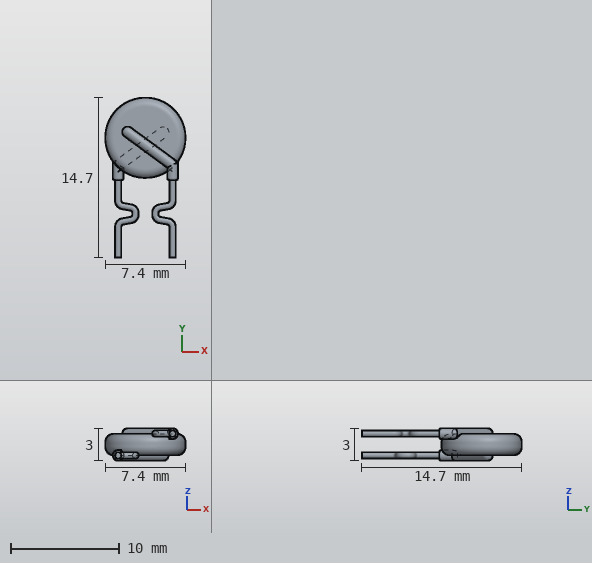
import cadquery as cq
import math

disc_radius = 3.7
disc_height = 2.0
disc_edge_fillet = 0.8

lead_pitch = 5.0
lead_x = lead_pitch / 2
lead_z = disc_height / 2
ridge_radius = 0.5
bend_y = -2.49
run_angle = 36.2
run_length = 5.12
sleeve_end_y = -3.9

wire_radius = 0.3
wire_end_y = -11.0
kink_center_y = -6.98
kink_bend_radius = 0.52
kink_slant = 10.0
kink_depth = 1.59
kink_tip_flat = 0.13

sleeve_end_fillet = ridge_radius - wire_radius

run_rise = math.sin(math.radians(run_angle))
run_reach = math.cos(math.radians(run_angle))


def make_disc():
    return (
        cq.Workplane("XY", origin=(0, 0, -disc_height / 2))
        .circle(disc_radius)
        .extrude(disc_height)
        .edges()
        .fillet(disc_edge_fillet)
    )


def make_ridge():
    """Ridge on the top face: mitred tube with a ball tip and a rounded sleeve end."""
    tip = (lead_x - run_length * run_reach, bend_y + run_length * run_rise, lead_z)
    path = cq.Workplane("XY").polyline(
        [(lead_x, sleeve_end_y, lead_z), (lead_x, bend_y, lead_z), tip]
    )
    tube = (
        cq.Workplane("XZ", origin=(lead_x, sleeve_end_y, lead_z))
        .circle(ridge_radius)
        .sweep(path, transition="right")
        .faces("<Y")
        .edges()
        .fillet(sleeve_end_fillet)
    )
    ball = cq.Workplane("XY", origin=tip).sphere(ridge_radius)
    return tube.union(ball)


def make_bend_web():
    """Square-edged web filling the inner side of the bend, beside the disc's rim."""
    side_y = bend_y - ridge_radius / run_reach
    web_reach = ridge_radius * 2
    web_rise = web_reach * run_rise / run_reach
    return (
        cq.Workplane("XY", origin=(0, 0, lead_z))
        .polyline(
            [
                (lead_x, bend_y),
                (lead_x, side_y),
                (lead_x - web_reach, side_y + web_rise),
                (lead_x - web_reach, bend_y + web_rise),
            ]
        )
        .close()
        .extrude(-ridge_radius)
    )


def make_wire():
    """Wire of the +X lead on the top face, butted against the rounded end of its sleeve."""
    slant = math.radians(kink_slant)
    arc_dx = kink_bend_radius * (1 - math.sin(slant))
    arc_dy = kink_bend_radius * math.cos(slant)
    arm_dx = kink_depth - 2 * arc_dx
    arm_dy = arm_dx * math.tan(slant)
    half_turn = (math.pi / 2 - slant) / 2
    mid_dx = kink_bend_radius * (1 - math.cos(half_turn))
    mid_dy = kink_bend_radius * math.sin(half_turn)

    tip_x = lead_x - kink_depth
    tip_dy = kink_tip_flat / 2
    arm_in_dy = tip_dy + arc_dy
    arm_out_dy = arm_in_dy + arm_dy
    kink_dy = arm_out_dy + arc_dy

    def at(x, dy):
        return (x, kink_center_y + dy)

    path = (
        cq.Workplane("XY", origin=(0, 0, lead_z))
        .moveTo(lead_x, sleeve_end_y)
        .lineTo(*at(lead_x, kink_dy))
        .threePointArc(at(lead_x - mid_dx, kink_dy - mid_dy), at(lead_x - arc_dx, arm_out_dy))
        .lineTo(*at(tip_x + arc_dx, arm_in_dy))
        .threePointArc(at(tip_x + mid_dx, tip_dy + mid_dy), at(tip_x, tip_dy))
        .lineTo(*at(tip_x, -tip_dy))
        .threePointArc(at(tip_x + mid_dx, -tip_dy - mid_dy), at(tip_x + arc_dx, -arm_in_dy))
        .lineTo(*at(lead_x - arc_dx, -arm_out_dy))
        .threePointArc(at(lead_x - mid_dx, mid_dy - kink_dy), at(lead_x, -kink_dy))
        .lineTo(lead_x, wire_end_y)
    )
    return (
        cq.Workplane("XZ", origin=(lead_x, sleeve_end_y, lead_z))
        .circle(wire_radius)
        .sweep(path)
    )


lead_turns = (0, 180)

coating = make_disc()
wires = []
for turn in lead_turns:
    ridge = make_ridge().union(make_bend_web())
    coating = coating.union(ridge.rotate((0, 0, 0), (0, 1, 0), turn))
    wires.append(make_wire().rotate((0, 0, 0), (0, 1, 0), turn))

result = cq.Compound.makeCompound([coating.solids().val(), *[wire.val() for wire in wires]])